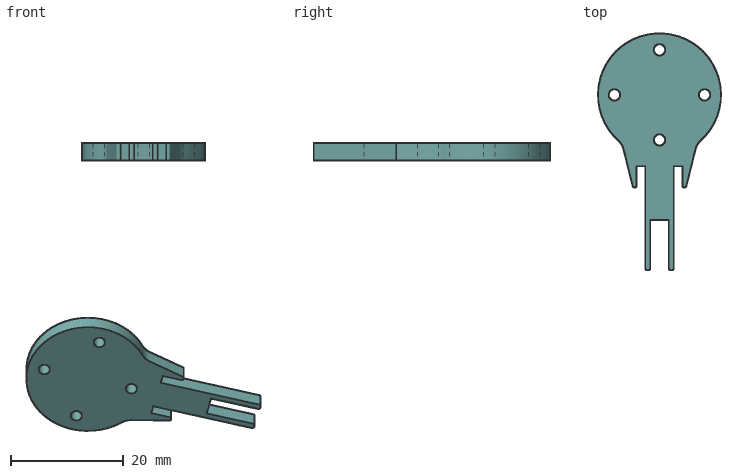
import cadquery as cq
import math

thickness = 3.15
total_length = 42.1
disc_radius = 10.95

hole_diameter = 2.0
hole_circle_radius = 8.0

shank_half_width = 2.55
fork_half_gap = 1.6
fork_root_y = -22.25
prong_fillet = 0.4
tip_y = disc_radius - total_length

slot_root_y = -12.7
slot_outer_x = 4.05
barb_tip_y = -16.45
barb_tip_radius = 0.4
barb_angle = math.radians(14)
neck_fillet = 3.0

barb_tip_x = slot_outer_x + barb_tip_radius
barb_tip_center_y = barb_tip_y + barb_tip_radius
barb_outer_x = barb_tip_x + barb_tip_radius * math.cos(barb_angle)
barb_outer_y = barb_tip_center_y - barb_tip_radius * math.sin(barb_angle)
barb_root_x = barb_outer_x - barb_outer_y * math.tan(barb_angle)


def half_tail():
    """Right half of the tail: barb, slot, half shank and one fork prong."""
    return (
        cq.Workplane("XY")
        .moveTo(0, 0)
        .lineTo(barb_root_x, 0)
        .lineTo(barb_outer_x, barb_outer_y)
        .threePointArc((barb_tip_x, barb_tip_y), (slot_outer_x, barb_tip_center_y))
        .lineTo(slot_outer_x, slot_root_y)
        .lineTo(shank_half_width, slot_root_y)
        .lineTo(shank_half_width, tip_y)
        .lineTo(fork_half_gap, tip_y)
        .lineTo(fork_half_gap, fork_root_y)
        .lineTo(0, fork_root_y)
        .close()
        .extrude(thickness)
        .faces("<Y")
        .edges("|Z")
        .fillet(prong_fillet)
    )


def neck_edges(body):
    """Vertical edges where the barbs' outer faces leave the disc."""
    neck_zone = cq.selectors.BoxSelector(
        (-disc_radius, slot_root_y / 2, 0),
        (disc_radius, -disc_radius, thickness),
    )
    return body.edges("|Z").edges(neck_zone)


disc = cq.Workplane("XY").circle(disc_radius).extrude(thickness)
tail = half_tail()
body = disc.union(tail).union(tail.mirror("YZ")).clean()
body = neck_edges(body).fillet(neck_fillet)

holes = (
    cq.Workplane("XY")
    .polarArray(hole_circle_radius, 0, 360, 4)
    .circle(hole_diameter / 2)
    .extrude(thickness)
)
result = body.cut(holes)